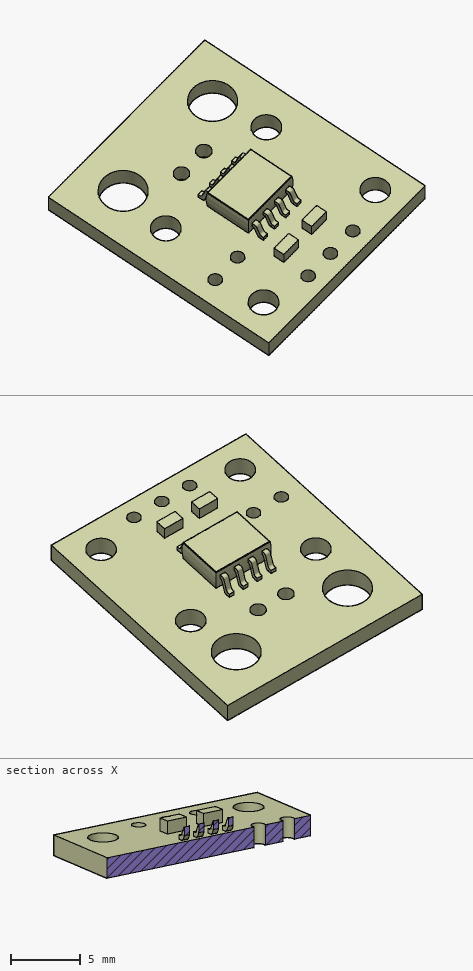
import cadquery as cq
import math

BOARD_X = 20.32
BOARD_Y = 17.78
BOARD_T = 1.56

GRID = 2.55

LARGE_HOLE_D = 3.58
LARGE_HOLE_X = -2.5 * GRID
LARGE_HOLE_Y = 2 * GRID

MOUNT_HOLE_D = 2.2
LEFT_MOUNT_X = -0.75 * GRID
LEFT_MOUNT_Y = 2.25 * GRID
RIGHT_MOUNT_X = 3 * GRID
RIGHT_MOUNT_Y = 2.5 * GRID

INPUT_HOLE_D = 1.18
INPUT_HOLE_X = -4.06
INPUT_HOLE_Y = GRID / 2

PIN_HOLE_D = 1.04
PIN_ROW_X = 8.64
JUMPER_X = 3.68
JUMPER_Y = (-1.75 * GRID, -2.75 * GRID)

CHIP_CENTER_X = 1.18
CHIP_X = 3.9
CHIP_Y = 5.04
CHIP_BOTTOM = 0.25
BAND_BOTTOM = 0.81
BAND_TOP = 1.46
CHIP_TOP = 1.9
CHIP_TAPER = 6.0
CHIP_TOP_CHAMFER = 0.05

LEADS_PER_SIDE = 4
LEAD_PITCH = GRID / 2
LEAD_W = 0.45
LEAD_T = 0.33
LEAD_REACH = 1.05
LEAD_BEND_X = 0.39
LEAD_SLOPE_RUN = 0.39
LEAD_BEND_R = 0.22
LEAD_ROOT = 0.2
LEFT_SHOULDER = BAND_TOP
RIGHT_SHOULDER = BAND_TOP - LEAD_T

CAP_X = 0.9
CAP_Y = 1.67
CAP_H = 0.98
CAP_CENTER_X = 6.1
CAP_CENTERS_Y = (1.28, -1.89)


def drill(board, diameter, centers):
    """Cut through holes of one diameter at the given centres."""
    return board.faces(">Z").workplane(origin=(0, 0, BOARD_T)).pushPoints(centers).hole(diameter)


def make_board():
    board = cq.Workplane("XY").box(BOARD_X, BOARD_Y, BOARD_T, centered=(True, True, False))
    board = drill(board, LARGE_HOLE_D, [(LARGE_HOLE_X, side * LARGE_HOLE_Y) for side in (-1, 1)])
    mount_centers = [(LEFT_MOUNT_X, side * LEFT_MOUNT_Y) for side in (-1, 1)]
    mount_centers += [(RIGHT_MOUNT_X, side * RIGHT_MOUNT_Y) for side in (-1, 1)]
    board = drill(board, MOUNT_HOLE_D, mount_centers)
    board = drill(board, INPUT_HOLE_D, [(INPUT_HOLE_X, side * INPUT_HOLE_Y) for side in (-1, 1)])
    pin_centers = [(PIN_ROW_X, row * GRID) for row in (-1, 0, 1)]
    pin_centers += [(JUMPER_X, y) for y in JUMPER_Y]
    return drill(board, PIN_HOLE_D, pin_centers)


def chip_layer(start, height, taper):
    """A slab of the chip body that starts at a height and narrows by the taper angle."""
    layer = cq.Workplane("XY", origin=(CHIP_CENTER_X, 0, BOARD_T + start))
    return layer.rect(CHIP_X, CHIP_Y).extrude(height, taper=taper)


def make_chip_body():
    upper = chip_layer(BAND_TOP, CHIP_TOP - BAND_TOP, CHIP_TAPER)
    upper = upper.faces(">Z").edges().chamfer(CHIP_TOP_CHAMFER)
    band = chip_layer(BAND_BOTTOM, BAND_TOP - BAND_BOTTOM, 0)
    lower = chip_layer(BAND_BOTTOM, CHIP_BOTTOM - BAND_BOTTOM, CHIP_TAPER)
    return band.union(upper).union(lower)


def make_lead(shoulder):
    """A lead that points to +X from the plane X = 0, with its foot on Z = 0."""
    slope_angle = math.atan2(shoulder - LEAD_T, LEAD_SLOPE_RUN)
    corner_shift = LEAD_T * math.tan(slope_angle / 2)
    foot_bend_x = LEAD_BEND_X + LEAD_SLOPE_RUN
    outline = [
        (-LEAD_ROOT, shoulder),
        (LEAD_BEND_X, shoulder),
        (foot_bend_x, LEAD_T),
        (LEAD_REACH, LEAD_T),
        (LEAD_REACH, 0),
        (foot_bend_x - corner_shift, 0),
        (LEAD_BEND_X - corner_shift, shoulder - LEAD_T),
        (-LEAD_ROOT, shoulder - LEAD_T),
    ]
    lead = cq.Workplane("XZ").polyline(outline).close().extrude(LEAD_W / 2, both=True)
    return lead.edges("|Y").edges("not(<X or >X)").fillet(LEAD_BEND_R)


def make_leads():
    left = make_lead(LEFT_SHOULDER).mirror("YZ").translate((CHIP_CENTER_X - CHIP_X / 2, 0, BOARD_T))
    right = make_lead(RIGHT_SHOULDER).translate((CHIP_CENTER_X + CHIP_X / 2, 0, BOARD_T))
    leads = []
    for row in range(LEADS_PER_SIDE):
        y = (row - (LEADS_PER_SIDE - 1) / 2) * LEAD_PITCH
        leads += [left.translate((0, y, 0)), right.translate((0, y, 0))]
    return leads


def make_capacitor(y):
    capacitor = cq.Workplane("XY", origin=(CAP_CENTER_X, y, BOARD_T))
    return capacitor.box(CAP_X, CAP_Y, CAP_H, centered=(True, True, False))


result = make_board().union(make_chip_body())
for lead in make_leads():
    result = result.union(lead)
for cap_center_y in CAP_CENTERS_Y:
    result = result.union(make_capacitor(cap_center_y))